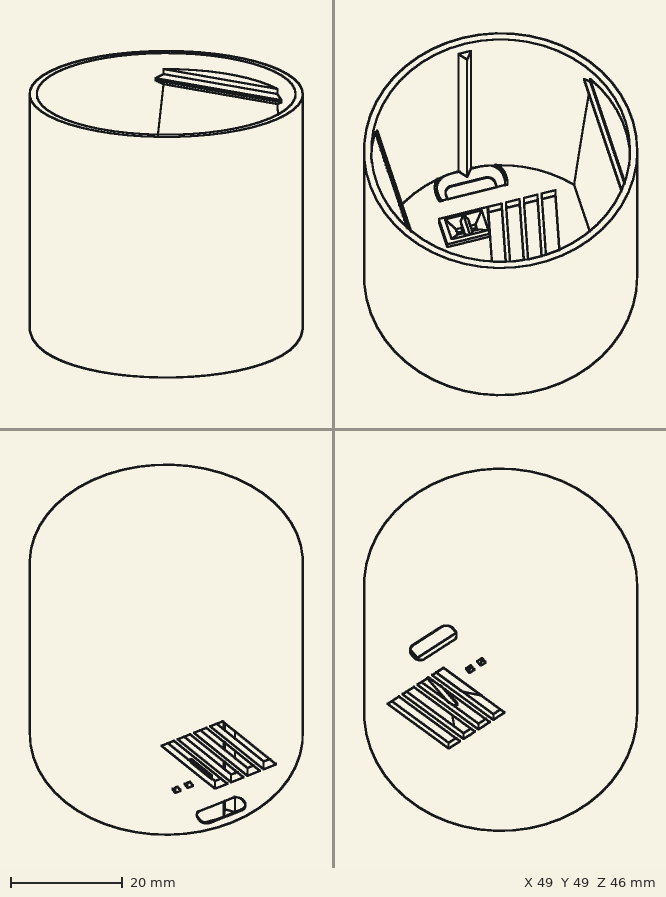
import cadquery as cq
import math

OUTER_DIAMETER = 49.0
INNER_DIAMETER = 46.4
HEIGHT = 46.0
FLOOR = 2.0
BOTTOM_FILLET = 2.0
INNER_RADIUS = INNER_DIAMETER / 2
MID_WALL_RADIUS = (INNER_DIAMETER + OUTER_DIAMETER) / 4

BLOCK_TOP = 43.0
BLOCK_TOP_Y = 20.05
BLOCK_FLOOR_Y = 17.95
RIDGE_TIP_Z = 41.3
RIDGE_DEPTH = 0.75
RIDGE_TIP_HEIGHT = 0.4

RIB_TOP = BLOCK_TOP
RIB_HALF_WIDTH = 1.2
RIB_TIP_X = 21.6

PORT_WIDTH = 3.6
PORT_LENGTH = 9.2
PORT_CORNER = 1.45
PORT_RIGHT_X = RIB_TIP_X
PORT_CENTER_Y = -0.2
PORT_LEFT_LIMIT_X = 18.1
FLARE = 1.55
RIM_STEP = 0.4
RIM_DEPTH = 0.2

SLOT_COUNT = 4
SLOT_LEFT_X = 0.5
SLOT_RIGHT_X = 14.55
SLOT_HEIGHT = 2.54
SLOT_PITCH = 3.33
SLOT_ANGLE = 12.6
FIRST_SLOT_Y = 1.27

BOSS_LEFT_X = 8.5
BOSS_WIDTH = 5.5
BOSS_TOP_Y = 7.5
BOSS_SLOT_GAP = 0.15
BOSS_HEIGHT = 1.0
PIN_X = 11.45
PIN_CENTER_Y = 3.03
PIN_PITCH = 2.54
PIN_HOLE = 1.1
FUNNEL_WIDTH = 4.3
FUNNEL_DEPTH = (FUNNEL_WIDTH - PIN_HOLE) / 2

FLARE_ANGLE = 45
CUT_MARGIN = 1.0


def make_cup():
    body = cq.Workplane("XY").circle(OUTER_DIAMETER / 2).extrude(HEIGHT)
    body = body.faces("<Z").edges().fillet(BOTTOM_FILLET)
    bore = cq.Workplane("XY").workplane(offset=FLOOR).circle(INNER_RADIUS).extrude(HEIGHT)
    return body.cut(bore)


def trim_to_wall(shape):
    """Trim a shape to a cylinder through the middle of the cup wall."""
    return shape.intersect(cq.Workplane("XY").circle(MID_WALL_RADIUS).extrude(HEIGHT))


def make_side_block(side):
    """Chord-shaped block; side is +1 for the +Y wall and -1 for the -Y wall."""
    tip_bottom_z = RIDGE_TIP_Z - RIDGE_TIP_HEIGHT
    profile = [
        (BLOCK_FLOOR_Y, FLOOR),
        (BLOCK_TOP_Y, tip_bottom_z - RIDGE_DEPTH),
        (BLOCK_TOP_Y - RIDGE_DEPTH, tip_bottom_z),
        (BLOCK_TOP_Y - RIDGE_DEPTH, RIDGE_TIP_Z),
        (BLOCK_TOP_Y, RIDGE_TIP_Z + RIDGE_DEPTH),
        (BLOCK_TOP_Y, BLOCK_TOP),
        (OUTER_DIAMETER / 2, BLOCK_TOP),
        (OUTER_DIAMETER / 2, FLOOR),
    ]
    points = [(side * y, z) for y, z in profile]
    block = cq.Workplane("YZ").polyline(points).close().extrude(INNER_RADIUS, both=True)
    return trim_to_wall(block)


def make_rib():
    base_x = math.sqrt(INNER_RADIUS**2 - RIB_HALF_WIDTH**2)
    points = [
        (RIB_TIP_X, 0),
        (base_x, RIB_HALF_WIDTH),
        (MID_WALL_RADIUS, RIB_HALF_WIDTH),
        (MID_WALL_RADIUS, -RIB_HALF_WIDTH),
        (base_x, -RIB_HALF_WIDTH),
    ]
    return cq.Workplane("XY").workplane(offset=FLOOR).polyline(points).close().extrude(RIB_TOP - FLOOR)


def port_outline(z, growth):
    """Rounded port outline at height z, widened by growth on every side."""
    center_x = PORT_RIGHT_X - PORT_WIDTH / 2
    outline = cq.Sketch().rect(PORT_WIDTH + 2 * growth, PORT_LENGTH + 2 * growth)
    outline = outline.vertices().fillet(PORT_CORNER + growth)
    return cq.Workplane("XY", origin=(center_x, PORT_CENTER_Y, z)).placeSketch(outline)


def make_port():
    """Port cutter, trimmed flat on the side facing the cup axis."""
    flare_top = FLOOR - RIM_DEPTH
    flare_base = flare_top - FLARE
    port = port_outline(-CUT_MARGIN, 0).extrude(flare_base + 2 * CUT_MARGIN)
    flare = port_outline(flare_base, 0).extrude(FLARE, taper=-FLARE_ANGLE)
    rim = port_outline(flare_top, FLARE + RIM_STEP).extrude(RIM_DEPTH)
    limit = cq.Workplane("XY", origin=(PORT_LEFT_LIMIT_X, PORT_CENTER_Y, -CUT_MARGIN)).box(
        OUTER_DIAMETER, OUTER_DIAMETER, HEIGHT, centered=(False, True, False)
    )
    return port.union(flare).union(rim).intersect(limit)


def first_slot_edge_y(x):
    """Y of the upper edge of the first vent slot at a given X."""
    return FIRST_SLOT_Y - (x - SLOT_LEFT_X) * math.tan(math.radians(SLOT_ANGLE))


def make_slots():
    slots = cq.Workplane("XY")
    for index in range(SLOT_COUNT):
        shift = index * SLOT_PITCH
        left_y = first_slot_edge_y(SLOT_LEFT_X) - shift
        right_y = first_slot_edge_y(SLOT_RIGHT_X) - shift
        points = [
            (SLOT_LEFT_X, left_y),
            (SLOT_RIGHT_X, right_y),
            (SLOT_RIGHT_X, right_y - SLOT_HEIGHT),
            (SLOT_LEFT_X, left_y - SLOT_HEIGHT),
        ]
        slots = slots.union(cq.Workplane("XY").polyline(points).close().extrude(FLOOR))
    return slots


def make_boss():
    """Boss whose lower edge runs alongside the first vent slot."""
    right_x = BOSS_LEFT_X + BOSS_WIDTH
    points = [
        (BOSS_LEFT_X, BOSS_TOP_Y),
        (right_x, BOSS_TOP_Y),
        (right_x, first_slot_edge_y(right_x) + BOSS_SLOT_GAP),
        (BOSS_LEFT_X, first_slot_edge_y(BOSS_LEFT_X) + BOSS_SLOT_GAP),
    ]
    return cq.Workplane("XY").workplane(offset=FLOOR).polyline(points).close().extrude(BOSS_HEIGHT)


def make_pin_holes():
    top_z = FLOOR + BOSS_HEIGHT
    cutter = cq.Workplane("XY")
    for side in (-1, 1):
        y = PIN_CENTER_Y + side * PIN_PITCH / 2
        hole = cq.Workplane("XY", origin=(PIN_X, y, 0)).rect(PIN_HOLE, PIN_HOLE).extrude(top_z)
        funnel = (
            cq.Workplane("XY", origin=(PIN_X, y, top_z))
            .rect(FUNNEL_WIDTH, FUNNEL_WIDTH)
            .extrude(-FUNNEL_DEPTH, taper=FLARE_ANGLE)
        )
        cutter = cutter.union(hole).union(funnel)
    half = (PIN_PITCH - PIN_HOLE) / 2
    points = [
        (PIN_CENTER_Y - half, 0),
        (PIN_CENTER_Y - half, top_z - half),
        (PIN_CENTER_Y, top_z),
        (PIN_CENTER_Y + half, top_z - half),
        (PIN_CENTER_Y + half, 0),
    ]
    divider = cq.Workplane("YZ", origin=(PIN_X, 0, 0)).polyline(points).close()
    divider = divider.extrude(FUNNEL_WIDTH, both=True)
    return cutter.cut(divider)


result = make_cup()
for wall_side in (-1, 1):
    result = result.union(make_side_block(wall_side))
result = result.union(make_boss()).cut(make_slots()).cut(make_pin_holes())
result = result.cut(make_port()).union(make_rib())